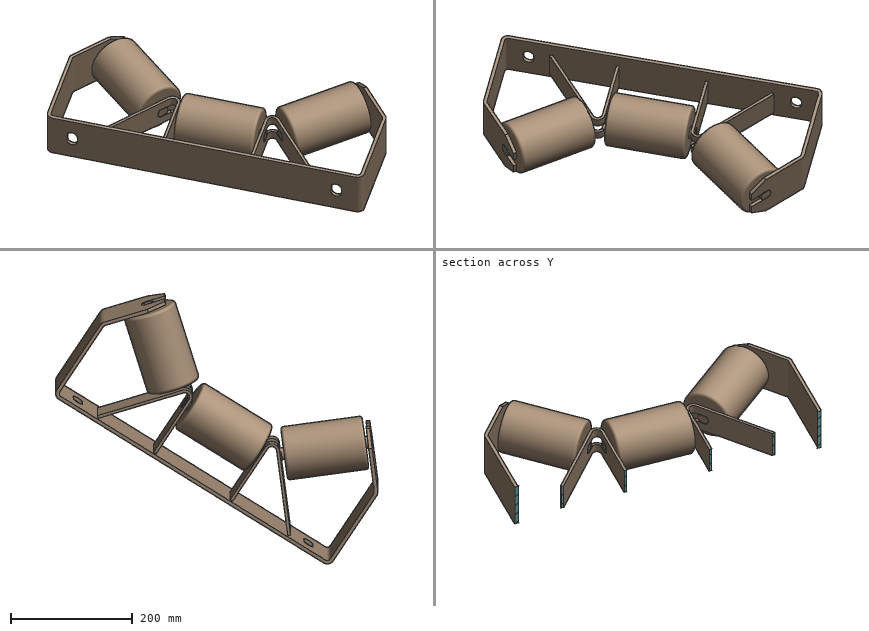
import cadquery as cq
import math

frame_width = 540.0
strap_height = 80.0
strap_plate = 6.0
strap_bend_radius = 8.5
upright_top = 147.0
arm_tip_y = 229.0
tip_bevel_length = 29.5
tip_bevel_height = 16.0

mount_slot_x = 225.0
mount_slot_width = 18.0
mount_slot_height = 27.0
mount_slot_z = 1.0

bracket_plate = 5.0
bracket_height = 47.5
bracket_bend_radius = 10.0
bracket_face_x = 72.5
slanted_leg_shift = 150.0
foot_sink = 0.5

drum_diameter = 88.5
drum_length = 135.0
drum_rounding = 5.0
shaft_diameter = 20.0
shaft_flats = 16.0
shaft_recess = 0.5
lean = math.radians(40)
middle_y = 99.5
middle_z = -7.0
side_y = 157.5

slot_overrun = 13.5
slot_depth = 54.0

cos_lean = math.cos(lean)
sin_lean = math.sin(lean)

back_y = strap_plate / 2
upright_x = frame_width / 2 - strap_plate / 2
arm_tip_x = upright_x - (arm_tip_y - upright_top) * math.tan(lean)

arm_shift = upright_x * cos_lean + upright_top * sin_lean + strap_plate / 2
slanted_leg_inner_shift = slanted_leg_shift - bracket_plate
middle_span = 2 * (bracket_face_x + bracket_plate)
side_span = arm_shift - slanted_leg_inner_shift

side_shift = (arm_shift + slanted_leg_inner_shift) / 2
side_x = (side_shift - side_y * sin_lean) / cos_lean
side_z = middle_z / 2
tilt = math.asin(-middle_z / side_span)


def bent_strip(points, thickness, bend_radius, height):
    """Plate that follows a mid-thickness line through the points, with rounded corners."""
    line = cq.Wire.makePolygon([cq.Vector(x, y, 0) for x, y in points])
    corners = [v for v in line.Vertices() if (v.X, v.Y) not in (points[0], points[-1])]
    path = line.fillet(bend_radius, corners)
    start = cq.Vector(*points[0], 0)
    first_run = cq.Vector(*points[1], 0) - start
    section = cq.Workplane(cq.Plane(start, (0, 0, 1), first_run)).rect(height, thickness)
    return section.sweep(cq.Workplane(path))


def mounting_slots():
    return (
        cq.Workplane("XZ", origin=(0, 0, mount_slot_z))
        .pushPoints([(-mount_slot_x, 0), (mount_slot_x, 0)])
        .slot2D(mount_slot_height, mount_slot_width, 90)
        .extrude(-strap_plate)
    )


def tip_bevel(side, end):
    """Wedge that bevels the upper (end 1) or lower (end -1) corner of one arm tip."""
    corner = (side * arm_tip_x, arm_tip_y, end * strap_height / 2)
    along_arm = (-side * sin_lean, cos_lean, 0)
    through_plate = (side * cos_lean, sin_lean, 0)
    inward = side * end * tip_bevel_height
    return (
        cq.Workplane(cq.Plane(corner, along_arm, through_plate))
        .polyline([(0, 0), (-tip_bevel_length, 0), (0, -inward)])
        .close()
        .extrude(strap_plate, both=True)
    )


def strap():
    right_half = [(upright_x, back_y), (upright_x, upright_top), (arm_tip_x, arm_tip_y)]
    left_half = [(-x, y) for x, y in reversed(right_half)]
    body = bent_strip(left_half + right_half, strap_plate, strap_bend_radius, strap_height)
    body = body.cut(mounting_slots())
    for side in (-1, 1):
        for end in (-1, 1):
            body = body.cut(tip_bevel(side, end))
    return body


def bracket(side):
    """Upright leg, bend and slanted leg, standing on the back of the strap."""
    half_plate = bracket_plate / 2
    leg_x = bracket_face_x + half_plate
    leg_shift = slanted_leg_shift - half_plate
    peak_y = (leg_shift - leg_x * cos_lean) / sin_lean
    foot_y = strap_plate + half_plate * sin_lean - foot_sink
    foot_x = (leg_shift - foot_y * sin_lean) / cos_lean
    line = [(side * leg_x, back_y), (side * leg_x, peak_y), (side * foot_x, foot_y)]
    strip = bent_strip(line, bracket_plate, bracket_bend_radius, bracket_height)
    return strip.translate((0, 0, middle_z))


def place_on_roller(body, side):
    """Move a body built along X to the left (-1), middle (0) or right (1) roller.

    The body's +Y side ends up toward the open end of the shaft slots.
    """
    turn = side * lean
    rise = side * tilt
    axis = (math.cos(turn) * math.cos(rise), math.sin(turn) * math.cos(rise), math.sin(rise))
    up = (-math.cos(turn) * math.sin(rise), -math.sin(turn) * math.sin(rise), math.cos(rise))
    centre = (side * side_x, side_y, side_z) if side else (0, middle_y, middle_z)
    return cq.Workplane(body.val().moved(cq.Location(cq.Plane(centre, axis, up))))


def rod(diameter, length):
    return cq.Workplane("YZ", origin=(-length / 2, 0, 0)).circle(diameter / 2).extrude(length)


def flatted_rod(length):
    flats = cq.Workplane().box(length, shaft_diameter, shaft_flats)
    return rod(shaft_diameter, length).intersect(flats)


def roller(side, span, inner_gap):
    """Drum with a round shaft between the plates and flatted shaft ends in their slots."""
    drum = rod(drum_diameter, drum_length).edges().fillet(drum_rounding)
    body = drum.union(rod(shaft_diameter, inner_gap)).union(flatted_rod(span - 2 * shaft_recess))
    return place_on_roller(body, side)


def shaft_slots(side, span):
    """Cutter for both slots of a roller, closed below the shaft and open toward the plate ends."""
    length = span + 2 * slot_overrun
    opening = cq.Workplane().box(length, slot_depth, shaft_flats).translate((0, slot_depth / 2, 0))
    return place_on_roller(flatted_rod(length).union(opening), side)


middle_roller = roller(0, middle_span, 2 * bracket_face_x)

frame = strap().union(bracket(-1)).union(bracket(1))
frame = frame.cut(shaft_slots(0, middle_span))
for side in (-1, 1):
    frame = frame.cut(shaft_slots(side, side_span))
frame = frame.union(middle_roller)

shoulder_clearance = shaft_diameter / 2 * math.sin(tilt)
side_gap = side_span - 2 * (strap_plate + shoulder_clearance)
side_rollers = [roller(side, side_span, side_gap) for side in (-1, 1)]

result = cq.Compound.makeCompound([frame.val(), *[r.val() for r in side_rollers]])